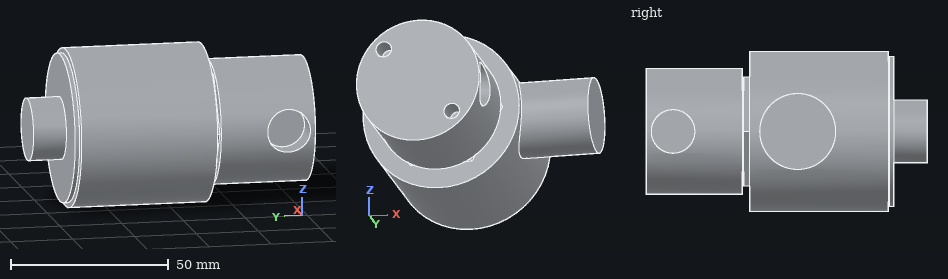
import cadquery as cq

TOTAL_LENGTH = 89.1

HEAD_RADIUS = 20.0
HEAD_LENGTH = 30.5
NECK_RADIUS = 12.8
NECK_LENGTH = 0.45
HEX_CORNER_RADIUS = HEAD_RADIUS
HEX_THICKNESS = 1.9

PORT_RADIUS = 6.91
PORT_Y = 8.6
PORT_DEPTH = 9.45
SCREW_HOLE_RADIUS = 2.5
SCREW_HOLE_OFFSET = 11.05
SCREW_HOLE_DEPTH = 8.9

BARREL_RADIUS = 25.4
BARREL_LENGTH = 43.9
GROOVE_RADIUS = 22.2
GROOVE_WIDTH = 0.4
FLANGE_RADIUS = 23.8
FLANGE_THICKNESS = 1.4
STUB_RADIUS = 10.0
CONNECTOR_RADIUS = 12.0
CONNECTOR_Y = 48.0
CONNECTOR_REACH = 47.0

neck_start = HEAD_LENGTH
hex_start = neck_start + NECK_LENGTH
barrel_start = hex_start + HEX_THICKNESS
groove_start = barrel_start + BARREL_LENGTH
flange_start = groove_start + GROOVE_WIDTH
stub_start = flange_start + FLANGE_THICKNESS


def plane_at(y):
    """Workplane across the main axis at y, with its normal along +Y."""
    return cq.Workplane(cq.Plane(origin=(0, y, 0), xDir=(1, 0, 0), normal=(0, 1, 0)))


def disc(radius, start, length):
    """Cylinder on the main axis, running from start toward +Y."""
    return plane_at(start).circle(radius).extrude(length)


def side_port(direction):
    """Blind port cutter entering the head from the side given by direction (+1 or -1)."""
    side_plane = cq.Plane(
        origin=(direction * HEAD_RADIUS, PORT_Y, 0), xDir=(0, 1, 0), normal=(-direction, 0, 0)
    )
    return cq.Workplane(side_plane).circle(PORT_RADIUS).extrude(PORT_DEPTH)


def screw_hole(direction):
    """Blind hole cutter in the front face, on the diagonal from -X +Z to +X -Z."""
    x = direction * SCREW_HOLE_OFFSET
    return disc(SCREW_HOLE_RADIUS, 0, SCREW_HOLE_DEPTH).translate((x, 0, -x))


def make_valve():
    collar = plane_at(hex_start).polygon(6, 2 * HEX_CORNER_RADIUS).extrude(HEX_THICKNESS)
    valve = (
        disc(HEAD_RADIUS, 0, HEAD_LENGTH)
        .union(disc(NECK_RADIUS, neck_start, NECK_LENGTH))
        .union(collar)
    )
    for direction in (-1, 1):
        valve = valve.cut(side_port(direction))
        valve = valve.cut(screw_hole(direction))
    return valve


def make_housing():
    connector = (
        cq.Workplane("YZ")
        .center(CONNECTOR_Y, 0)
        .circle(CONNECTOR_RADIUS)
        .extrude(CONNECTOR_REACH)
    )
    return (
        disc(BARREL_RADIUS, barrel_start, BARREL_LENGTH)
        .union(disc(GROOVE_RADIUS, groove_start, GROOVE_WIDTH))
        .union(disc(FLANGE_RADIUS, flange_start, FLANGE_THICKNESS))
        .union(disc(STUB_RADIUS, stub_start, TOTAL_LENGTH - stub_start))
        .union(connector)
    )


valve = make_valve()
housing = make_housing()

result = cq.Compound.makeCompound([valve.val(), housing.val()])